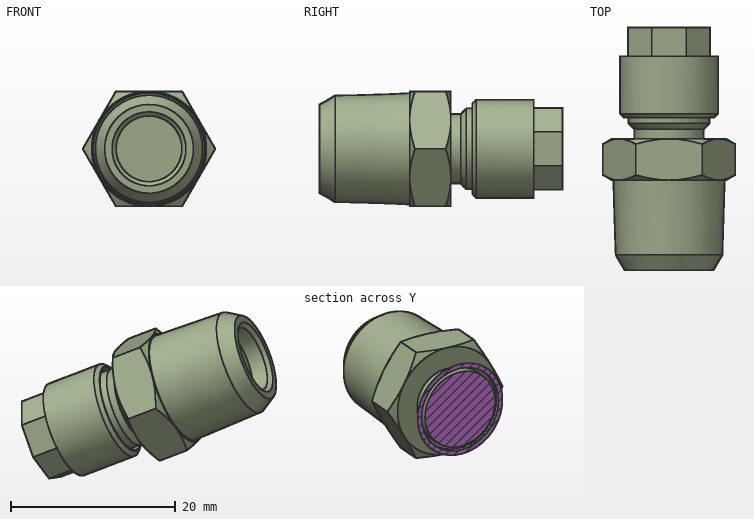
import cadquery as cq
import math

TIP_CHAMFER_END = 1.9
HEX_START = 11.0
HEX_END = 16.0
NECK_END = 17.2
COLLAR_START = 17.9
SLEEVE_START = 18.6
SLEEVE_CHAMFER_END = 19.1
SLEEVE_END = 26.1
TOTAL_LENGTH = 29.6

THREAD_END_DIAMETER = 13.6
THREAD_TAPER = 1 / 16
THREAD_START_DIAMETER = THREAD_END_DIAMETER - THREAD_TAPER * (HEX_START - TIP_CHAMFER_END)
TIP_DIAMETER = 10.8

NECK_DIAMETER = 8.5
COLLAR_DIAMETER = 9.9
SLEEVE_DIAMETER = 12.0
SLEEVE_CHAMFER_DIAMETER = SLEEVE_DIAMETER - 2 * (SLEEVE_CHAMFER_END - SLEEVE_START)

SLEEVE_GAP_DIAMETER = 10.7
SLEEVE_GAP_DEPTH = 1.0

HEX_ACROSS_FLATS = 14.0
HEX_CHAMFER_ANGLE = 30.0
OCTAGON_ACROSS_FLATS = 10.0

BORE_MOUTH_DIAMETER = 9.0
BORE_DIAMETER = 8.0
BORE_CHAMFER_DEPTH = 0.5
BORE_DEPTH = 2.5


def revolve_profile(stations):
    """Solid of revolution about Y from (y, diameter) stations."""
    outline = [(diameter / 2, y) for y, diameter in stations]
    first_y = stations[0][0]
    last_y = stations[-1][0]
    points = [(0, first_y)] + outline + [(0, last_y)]
    return cq.Workplane("XY").polyline(points).close().revolve(360, (0, 0, 0), (0, 1, 0))


def polygon_prism(sides, across_flats, start, end, turn=0.0):
    """Regular prism along Y; with no turn one corner points along +X."""
    across_corners = across_flats / math.cos(math.pi / sides)
    prism = cq.Workplane("XZ").polygon(sides, across_corners).extrude(start - end)
    return prism.rotate((0, 0, 0), (0, 1, 0), turn).translate((0, start, 0))


def turned_body():
    """Tip, tapered thread, neck, collar and sleeve as one turned profile."""
    return revolve_profile([
        (0, TIP_DIAMETER),
        (TIP_CHAMFER_END, THREAD_START_DIAMETER),
        (HEX_START, THREAD_END_DIAMETER),
        (HEX_START, NECK_DIAMETER),
        (NECK_END, NECK_DIAMETER),
        (COLLAR_START, COLLAR_DIAMETER),
        (SLEEVE_START + SLEEVE_GAP_DEPTH, COLLAR_DIAMETER),
        (SLEEVE_START + SLEEVE_GAP_DEPTH, SLEEVE_GAP_DIAMETER),
        (SLEEVE_START, SLEEVE_GAP_DIAMETER),
        (SLEEVE_START, SLEEVE_CHAMFER_DIAMETER),
        (SLEEVE_CHAMFER_END, SLEEVE_DIAMETER),
        (SLEEVE_END, SLEEVE_DIAMETER),
    ])


def wrench_hexagon():
    """Hexagon with its corners chamfered by cones on both end faces."""
    sides = 6
    prism = polygon_prism(sides, HEX_ACROSS_FLATS, HEX_START, HEX_END)
    cone_rise = (HEX_END - HEX_START) / 2
    cone_growth = 2 * cone_rise / math.tan(math.radians(HEX_CHAMFER_ANGLE))
    envelope = revolve_profile([
        (HEX_START, HEX_ACROSS_FLATS),
        (HEX_START + cone_rise, HEX_ACROSS_FLATS + cone_growth),
        (HEX_END, HEX_ACROSS_FLATS),
    ])
    return prism.intersect(envelope)


def end_octagon():
    """Octagon with flats square to X and Z."""
    sides = 8
    return polygon_prism(sides, OCTAGON_ACROSS_FLATS, SLEEVE_END, TOTAL_LENGTH, 180 / sides)


def tip_bore():
    """Blind bore with a countersunk mouth."""
    return revolve_profile([
        (0, BORE_MOUTH_DIAMETER),
        (BORE_CHAMFER_DEPTH, BORE_DIAMETER),
        (BORE_DEPTH, BORE_DIAMETER),
    ])


result = turned_body().union(wrench_hexagon()).union(end_octagon()).cut(tip_bore())